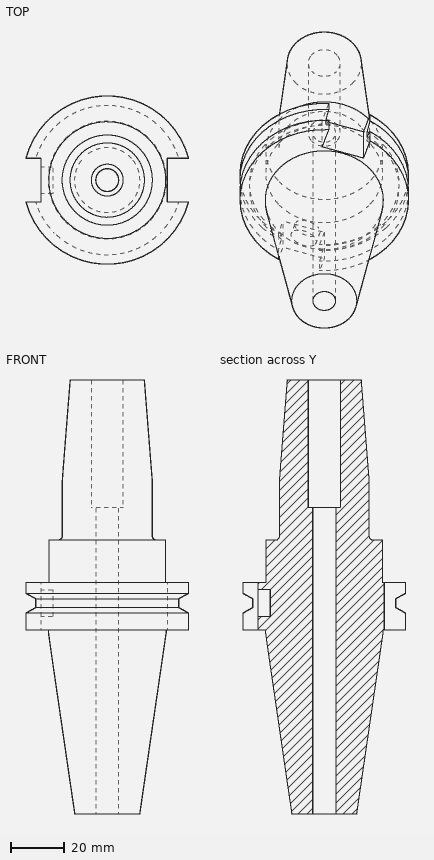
import cadquery as cq
import math


gauge_diameter = 44.45
taper_ratio = 7 / 24
shank_length = 68.3
shank_end_diameter = gauge_diameter - shank_length * taper_ratio

flange_diameter = 63.5
flange_bottom = 1.0
flange_top = 19.05
groove_center = 11.18
groove_root_diameter = 56.36
groove_mouth_width = 7.4
groove_wall_angle = 30
groove_depth = (flange_diameter - groove_root_diameter) / 2
groove_root_width = groove_mouth_width - 2 * groove_depth * math.tan(math.radians(groove_wall_angle))

slot_width = 16.38
left_slot_floor = 25.0
right_slot_floor = 22.6

pocket_diameter = 10.0
pocket_depth = 4.6

collar_diameter = 44.0
collar_top = 35.0
nose_top = 95.25
nose_diameter = 34.0
nose_fillet = 1.5
nose_cone_length = 38.0
nose_cone_angle = 4.5
nose_tip_diameter = nose_diameter - 2 * nose_cone_length * math.tan(math.radians(nose_cone_angle))

tool_bore_diameter = 12.0
tool_bore_depth = 4 * tool_bore_diameter
through_bore_diameter = 8.5


def turned_body():
    """Revolve the outer half-profile of the holder about Z."""
    flange_radius = flange_diameter / 2
    root_radius = groove_root_diameter / 2
    nose_radius = nose_diameter / 2
    arc_offset = nose_fillet * (1 - math.sqrt(0.5))
    profile = (
        cq.Workplane("XZ")
        .moveTo(0, -shank_length)
        .lineTo(shank_end_diameter / 2, -shank_length)
        .lineTo(gauge_diameter / 2, 0)
        .lineTo(gauge_diameter / 2, flange_bottom)
        .lineTo(flange_radius, flange_bottom)
        .lineTo(flange_radius, groove_center - groove_mouth_width / 2)
        .lineTo(root_radius, groove_center - groove_root_width / 2)
        .lineTo(root_radius, groove_center + groove_root_width / 2)
        .lineTo(flange_radius, groove_center + groove_mouth_width / 2)
        .lineTo(flange_radius, flange_top)
        .lineTo(collar_diameter / 2, flange_top)
        .lineTo(collar_diameter / 2, collar_top)
        .lineTo(nose_radius + nose_fillet, collar_top)
        .threePointArc(
            (nose_radius + arc_offset, collar_top + arc_offset),
            (nose_radius, collar_top + nose_fillet),
        )
        .lineTo(nose_radius, nose_top - nose_cone_length)
        .lineTo(nose_tip_diameter / 2, nose_top)
        .lineTo(0, nose_top)
        .close()
    )
    return profile.revolve(360, (0, 0, 0), (0, 1, 0))


def drive_slot(side, floor):
    """Block that cuts a slot through the flange height; side is -1 for -X and +1 for +X."""
    length = flange_diameter / 2
    height = flange_top - flange_bottom
    return (
        cq.Workplane("XY", origin=(side * (floor + length / 2), 0, flange_bottom))
        .box(length, slot_width, height, centered=(True, True, False))
    )


def slot_pocket():
    """Radial cylinder that cuts the pocket inward from the left slot floor."""
    return (
        cq.Workplane("YZ", origin=(-left_slot_floor, 0, groove_center))
        .circle(pocket_diameter / 2)
        .extrude(pocket_depth)
    )


def axial_bores():
    """Tool bore from the nose tip, with the through bore along the whole axis."""
    through_bore = (
        cq.Workplane("XY", origin=(0, 0, -shank_length))
        .circle(through_bore_diameter / 2)
        .extrude(shank_length + nose_top)
    )
    tool_bore = (
        cq.Workplane("XY", origin=(0, 0, nose_top))
        .circle(tool_bore_diameter / 2)
        .extrude(-tool_bore_depth)
    )
    return through_bore.union(tool_bore)


result = (
    turned_body()
    .cut(drive_slot(-1, left_slot_floor))
    .cut(drive_slot(1, right_slot_floor))
    .cut(slot_pocket())
    .cut(axial_bores())
)